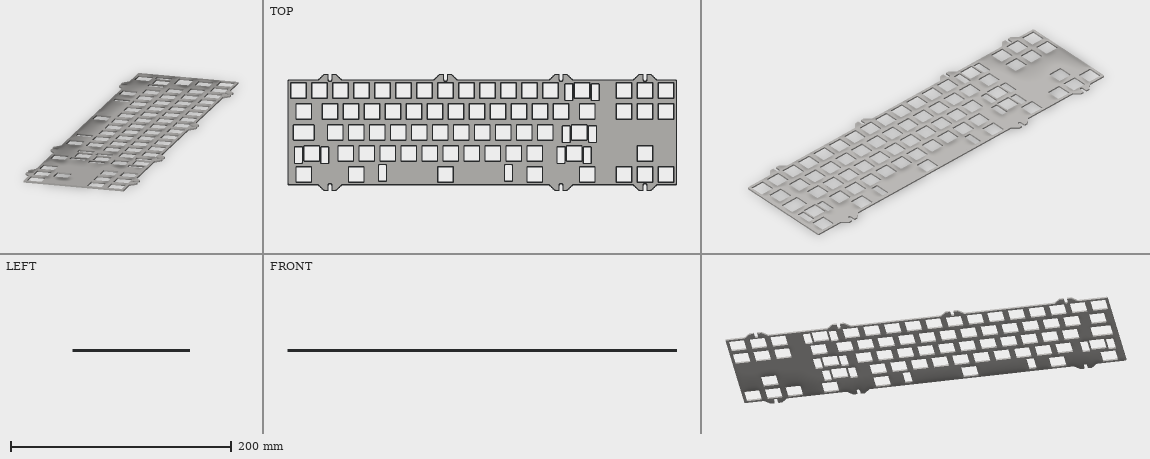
import cadquery as cq
import math

UNIT = 19.05
PLATE_WIDTH = 18.5 * UNIT
PLATE_DEPTH = 5 * UNIT
OVERALL_DEPTH = 105.6
THICKNESS = 1.5
CORNER_RADIUS = 1.0

SWITCH_SIZE = 14.0
OPENING_CORNER_RADIUS = 0.5

STABILIZER_WIDTH = 7.0
STABILIZER_HEIGHT = 15.0
STABILIZER_DROP = 1.5
SHORT_STABILIZER_REACH = 11.938
SPACEBAR_STABILIZER_REACH = 3 * UNIT

TAB_BASE_WIDTH = 21.2
TAB_TIP_WIDTH = 10.5
TAB_SLOT_WIDTH = 3.2
TAB_SLOT_DEPTH = 6.4
SLOT_MOUTH_RADIUS = 0.5

NAVIGATION_KEYS = [16, 17, 18]
KEY_ROWS = [
    [0.5 + i for i in range(13)] + [14] + NAVIGATION_KEYS,
    [0.75] + [2 + i for i in range(12)] + [14.25] + NAVIGATION_KEYS,
    [2.25 + i for i in range(11)] + [13.875],
    [1.125] + [2.75 + i for i in range(10)] + [13.625, 17],
    [0.75, 3.25, 7.5, 11.75, 14.25] + NAVIGATION_KEYS,
]
CAPS_LOCK_ROW = 2
CAPS_LOCK_CENTRES = (0.625, 0.875)

SHORT_STABILIZED_KEYS = [(14, 0), (13.875, 2), (1.125, 3), (13.625, 3)]
SPACEBAR = (7.5, 4)

BACK_TABS = [2, 7.5, 13, 17]
FRONT_TABS = [2, 13, 17]


def grid_x(units):
    """X of a position given in key units from the left edge of the plate."""
    return units * UNIT - PLATE_WIDTH / 2


def row_y(row):
    """Y of the centre line of a key row."""
    return PLATE_DEPTH / 2 - (row + 0.5) * UNIT


def cut_openings(plate, centres, width, height):
    """Cut equal round-cornered rectangular openings through the plate."""
    openings = (
        cq.Workplane("XY")
        .pushPoints(centres)
        .rect(width, height)
        .extrude(THICKNESS)
        .edges("|Z")
        .fillet(OPENING_CORNER_RADIUS)
    )
    return plate.cut(openings)


def make_tab(x, side):
    """Trapezoidal tab on the back (side = 1) or front (side = -1) edge of the plate."""
    edge = side * PLATE_DEPTH / 2
    tip = side * OVERALL_DEPTH / 2
    half_base = TAB_BASE_WIDTH / 2
    half_tip = TAB_TIP_WIDTH / 2
    outline = [(x - half_base, edge), (x - half_tip, tip), (x + half_tip, tip), (x + half_base, edge)]
    return cq.Workplane("XY").polyline(outline).close().extrude(THICKNESS)


def make_slot(x, side):
    """Cutter for the slot of a tab: round at its inner end, with a rounded mouth at the tab tip."""
    tip = side * OVERALL_DEPTH / 2
    bottom = tip - side * TAB_SLOT_DEPTH
    radius = TAB_SLOT_WIDTH / 2
    mouth_end = tip - side * SLOT_MOUTH_RADIUS
    half_mouth = radius + SLOT_MOUTH_RADIUS
    arc_inset = SLOT_MOUTH_RADIUS * (1 - math.sqrt(0.5))
    return (
        cq.Workplane("XY")
        .moveTo(x - half_mouth, tip)
        .threePointArc((x - radius - arc_inset, tip - side * arc_inset), (x - radius, mouth_end))
        .lineTo(x - radius, bottom + side * radius)
        .threePointArc((x, bottom), (x + radius, bottom + side * radius))
        .lineTo(x + radius, mouth_end)
        .threePointArc((x + radius + arc_inset, tip - side * arc_inset), (x + half_mouth, tip))
        .close()
        .extrude(THICKNESS)
    )


def add_tabs(plate):
    for side, positions in ((1, BACK_TABS), (-1, FRONT_TABS)):
        for units in positions:
            x = grid_x(units)
            plate = plate.union(make_tab(x, side)).cut(make_slot(x, side))
    return plate


def cut_switches(plate):
    centres = [(grid_x(u), row_y(row)) for row, keys in enumerate(KEY_ROWS) for u in keys]
    return cut_openings(plate, centres, SWITCH_SIZE, SWITCH_SIZE)


def cut_caps_lock(plate):
    first, last = CAPS_LOCK_CENTRES
    centre = (grid_x((first + last) / 2), row_y(CAPS_LOCK_ROW))
    return cut_openings(plate, [centre], SWITCH_SIZE + (last - first) * UNIT, SWITCH_SIZE)


def cut_stabilizers(plate):
    centres = []
    for side in (-1, 1):
        for units, row in SHORT_STABILIZED_KEYS:
            x = grid_x(units) + side * SHORT_STABILIZER_REACH
            centres.append((x, row_y(row) - STABILIZER_DROP))
        units, row = SPACEBAR
        x = grid_x(units) + side * SPACEBAR_STABILIZER_REACH
        centres.append((x, row_y(row) + STABILIZER_DROP))
    return cut_openings(plate, centres, STABILIZER_WIDTH, STABILIZER_HEIGHT)


plate = (
    cq.Workplane("XY")
    .rect(PLATE_WIDTH, PLATE_DEPTH)
    .extrude(THICKNESS)
    .edges("|Z")
    .fillet(CORNER_RADIUS)
)
plate = add_tabs(plate)
plate = cut_switches(plate)
plate = cut_caps_lock(plate)
result = cut_stabilizers(plate)